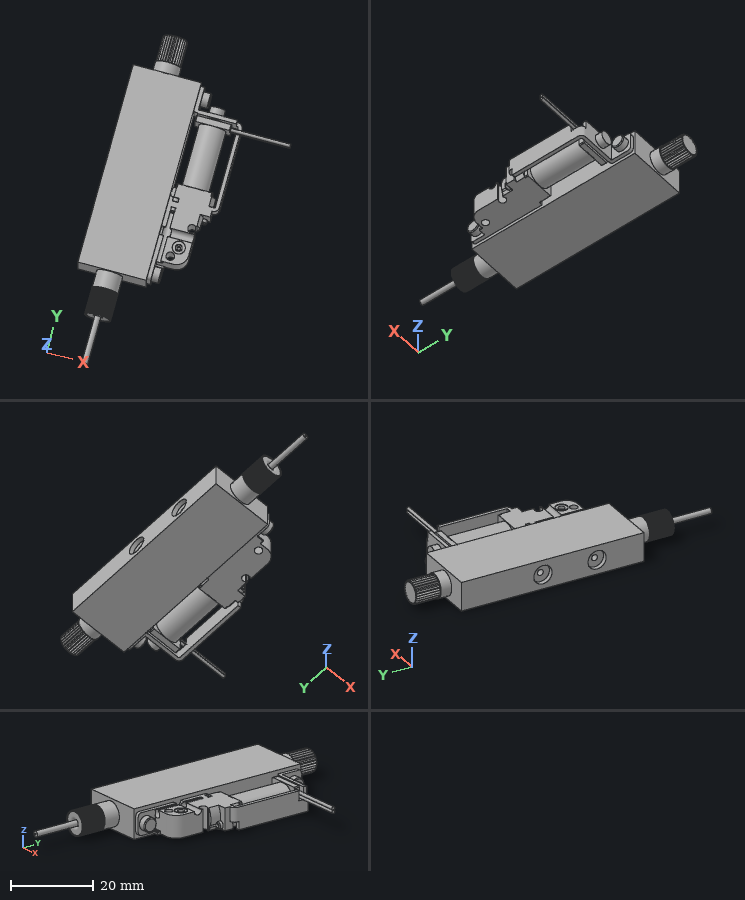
import cadquery as cq
import math

BLOCK_X = 17.2
BLOCK_Y = 50.9
BLOCK_Z = 8.0
MID_Z = BLOCK_Z / 2

PORT_Y = (13.1, 28.2)
PORT_RECESS_DIA = 5.0
PORT_RECESS_DEPTH = 1.25
PORT_DIA = 1.6
PORT_DEPTH = 3.35
DRILL_POINT_ANGLE = 118

FITTING_X = 8.05
NECK_DIA = 6.5

KNOB_NECK = 2.9
KNOB_FLUTED = 6.8
KNOB_GRIP_DIA = 6.2
KNOB_FLUTES = 26
KNOB_FLUTE_DEPTH = 0.4
KNOB_CHAMFER = 0.3

GLAND_NECK = 4.4
GLAND_KNURLED = 6.8
GLAND_TEETH = 66
GLAND_TOOTH_DEPTH = 0.25
GLAND_FLARE_DIA = 3.5
CABLE_DIA = 1.6
CABLE_LENGTH = 11.9
CORE_DIA = 0.32
CORE_LENGTH = 0.2

PILOT_HEIGHT = 5.95
PILOT_BOTTOM = MID_Z - PILOT_HEIGHT / 2
PILOT_TOP = MID_Z + PILOT_HEIGHT / 2
SHEET = 1.0

FLANGE_MARGIN = 0.5
FLANGE_CORNER = 1.0
UPPER_FLANGE_BOTTOM_Y = 43.6
SCREW_DIA = 3.8
SCREW_HEIGHT = 2.0
SCREW_CHAMFER = 0.25
LOWER_SCREW_Y = 2.8
UPPER_SCREW_Y = 47.8

BRACKET_RIGHT_X = 29.5
BRACKET_BOTTOM_Y = 20.95
BRACKET_TOP_Y = 44.4
BEND_RADIUS = 1.3
ARM_BEND_RADIUS = 0.5
INNER_BEND_RADIUS = BEND_RADIUS - SHEET
RELIEF_X = 28.0
UPPER_RELIEF_Y = 40.9
UPPER_RELIEF_Z = 4.4
LOWER_RELIEF_Y = 22.55
LOWER_RELIEF_Z = 3.2

COIL_X = 22.55
COIL_WIDTH = 6.8
COIL_HEIGHT = 5.7
BOBBIN_WIDTH = 9.0
BOBBIN_CORNER = 0.25
LOWER_CHEEK_Y = (24.5, 25.4)
UPPER_CHEEK_Y = (41.4, 42.9)
CORE_POST_DIA = 3.8
CORE_POST_TOP_Y = 46.4
WIRE_DIA = 0.9
WIRE_END_X = 42.0
WIRE_Y = 41.8
UPPER_WIRE_Z = 5.95
WIRE_OVERLAP = 0.03

BASE_RIGHT_X = 28.0
FLANK_BULGE = 1.0

BODY_SHOULDER_Y = 19.45
BODY_RIGHT_X = 25.5
BODY_BOTTOM_Y = 5.8
BODY_CORNER = 3.0
CHEEK_BOTTOM_Y = 16.5
CHEEK_BULGE = 0.75
MOUNT_HOLE_DIA = 2.0
MOUNT_HOLE_X = 21.2
MOUNT_HOLE_Y = 7.55
MOUNT_SLOT_X = 24.5
MOUNT_SLOT_Y = 15.5
MOUNT_SLOT_MOUTH = 1.6
PLUG_X = 22.6
PLUG_Y = 10.15
PLUG_DIA = 3.2
PLUG_RECESS = 0.2
PLUG_SOCKET_DIA = 1.7
PLUG_SOCKET_DEPTH = 1.0
PLUG_BORE_DIA = 0.9
PLUG_BORE_DEPTH = 2.1
CROSS_GROOVE_Y = 13.2
CROSS_GROOVE_DIA = 2.2

NIPPLE_OFFSET_X = 3.8
NIPPLE_OFFSET_Z = 1.85
NIPPLE_DIA = 2.0
NIPPLE_LENGTH = 1.1
NIPPLE_CHAMFER = 0.25
NIPPLE_BORE_DIA = 0.9
CHANNEL_DIA = 2.1
CHANNEL_SLOT = 1.0
BRACKET_PIN_DIA = 1.4

LEDGE_X = 20.2
LEDGE_STEP = 0.5
LEDGE_LOW = 0.5
LEDGE_HIGH = 0.75


def box(x_range, y_range, z_range):
    """Box from its limits along X, Y and Z."""
    (x0, x1), (y0, y1), (z0, z1) = x_range, y_range, z_range
    return cq.Workplane("XY").box(x1 - x0, y1 - y0, z1 - z0, centered=False).translate((x0, y0, z0))


def across_y(x, z, y):
    """Workplane facing +Y, with its origin at (x, y, z)."""
    return cq.Workplane("XZ", origin=(x, y, z)).transformed(rotate=(180, 0, 0))


def rod_y(dia, x, z, y0, y1):
    """Round rod along Y."""
    return across_y(x, z, y0).circle(dia / 2).extrude(y1 - y0)


def rod_x(dia, y, z, x0, x1):
    """Round rod along X."""
    return cq.Workplane("YZ", origin=(x0, y, z)).circle(dia / 2).extrude(x1 - x0)


def hole_z(dia, x, y, z0):
    """Round cutter along Z, from z0 up through the top of the pilot valve."""
    return cq.Workplane("XY", origin=(x, y, z0)).circle(dia / 2).extrude(PILOT_TOP - z0)


def toothed_rod(dia, teeth, depth, y0, y1):
    """Rod along the fitting axis with V-shaped teeth, one tip pointing to +Z."""
    points = []
    for i in range(2 * teeth):
        radius = dia / 2 - depth * (i % 2)
        angle = math.pi / 2 + i * math.pi / teeth
        points.append((radius * math.cos(angle), radius * math.sin(angle)))
    return across_y(FITTING_X, MID_Z, y0).polyline(points).close().extrude(y1 - y0)


def drill_point(y):
    """Conical end of the port at the given Y."""
    radius = PORT_DIA / 2
    height = radius / math.tan(math.radians(DRILL_POINT_ANGLE / 2))
    cone = cq.Solid.makeCone(radius, 0, height, cq.Vector(PORT_DEPTH, y, MID_Z), cq.Vector(1, 0, 0))
    return cq.Workplane(cone)


def make_block():
    block = box((0, BLOCK_X), (0, BLOCK_Y), (0, BLOCK_Z))
    for y in PORT_Y:
        block = block.cut(rod_x(PORT_RECESS_DIA, y, MID_Z, 0, PORT_RECESS_DEPTH))
        block = block.cut(rod_x(PORT_DIA, y, MID_Z, 0, PORT_DEPTH))
        block = block.cut(drill_point(y))
    return block


def make_knob():
    neck_end = BLOCK_Y + KNOB_NECK
    tip = neck_end + KNOB_FLUTED
    envelope = rod_y(KNOB_GRIP_DIA, FITTING_X, MID_Z, neck_end, tip).faces(">Y").chamfer(KNOB_CHAMFER)
    grip = toothed_rod(KNOB_GRIP_DIA, KNOB_FLUTES, KNOB_FLUTE_DEPTH, neck_end, tip).intersect(envelope)
    return rod_y(NECK_DIA, FITTING_X, MID_Z, BLOCK_Y, neck_end).union(grip)


def make_cable_fitting():
    knurl_start = -GLAND_NECK
    face_y = knurl_start - GLAND_KNURLED
    cable_end = face_y - CABLE_LENGTH
    flare = (GLAND_FLARE_DIA - CABLE_DIA) / 2

    fitting = rod_y(NECK_DIA, FITTING_X, MID_Z, knurl_start, 0)
    fitting = fitting.union(toothed_rod(NECK_DIA, GLAND_TEETH, GLAND_TOOTH_DEPTH, face_y, knurl_start))
    mouth = (
        cq.Workplane("XY")
        .moveTo(0, face_y)
        .lineTo(GLAND_FLARE_DIA / 2, face_y)
        .radiusArc((CABLE_DIA / 2, face_y + flare), flare)
        .lineTo(0, face_y + flare)
        .close()
        .revolve(360, (0, 0, 0), (0, 1, 0))
        .translate((FITTING_X, 0, MID_Z))
    )
    fitting = fitting.cut(mouth)
    fitting = fitting.union(rod_y(CABLE_DIA, FITTING_X, MID_Z, cable_end, knurl_start))
    return fitting.union(rod_y(CORE_DIA, FITTING_X, MID_Z, cable_end - CORE_LENGTH, cable_end))


PILOT_Z = (PILOT_BOTTOM, PILOT_TOP)
FLANGE_X = (BLOCK_X, BLOCK_X + SHEET)


def make_flange(y0, y1, rounded_end):
    """Mounting flange flat against the block, with rounded corners at one end."""
    flange = box(FLANGE_X, (y0, y1), PILOT_Z)
    return flange.faces(rounded_end).edges("|X").fillet(FLANGE_CORNER)


def make_screw_head(y):
    head = rod_x(SCREW_DIA, y, MID_Z, FLANGE_X[1], FLANGE_X[1] + SCREW_HEIGHT)
    return head.faces(">X").chamfer(SCREW_CHAMFER)


def make_bracket():
    """Sheet bent around the coil, with its bends cut back for the wires and at the lower corner."""
    outer = box((BLOCK_X, BRACKET_RIGHT_X), (BRACKET_BOTTOM_Y, BRACKET_TOP_Y), PILOT_Z)
    outer = outer.edges("|Z and >X").fillet(BEND_RADIUS)
    inner_y = (BRACKET_BOTTOM_Y + SHEET, BRACKET_TOP_Y - SHEET)
    inner = box((BLOCK_X, BRACKET_RIGHT_X - SHEET), inner_y, PILOT_Z)
    bracket = outer.cut(inner.edges("|Z and >X and >Y").fillet(INNER_BEND_RADIUS))
    relief_x = (RELIEF_X, BRACKET_RIGHT_X)
    bracket = bracket.cut(box(relief_x, (UPPER_RELIEF_Y, BRACKET_TOP_Y), (UPPER_RELIEF_Z, PILOT_TOP)))
    bracket = bracket.cut(box(relief_x, (BRACKET_BOTTOM_Y, LOWER_RELIEF_Y), (PILOT_BOTTOM, LOWER_RELIEF_Z)))
    bend_y = (UPPER_FLANGE_BOTTOM_Y, BRACKET_TOP_Y)
    bend = box(FLANGE_X, bend_y, PILOT_Z).edges("|Z and <X and <Y").fillet(ARM_BEND_RADIUS)
    square_end = box(FLANGE_X, (inner_y[1], BRACKET_TOP_Y), PILOT_Z)
    return bracket.cut(square_end).union(bend)


def make_coil():
    coil = across_y(COIL_X, MID_Z, LOWER_CHEEK_Y[0]).ellipse(COIL_WIDTH / 2, COIL_HEIGHT / 2)
    coil = coil.extrude(UPPER_CHEEK_Y[1] - LOWER_CHEEK_Y[0])
    cheek_x = (COIL_X - BOBBIN_WIDTH / 2, COIL_X + BOBBIN_WIDTH / 2)
    for cheek_y in (LOWER_CHEEK_Y, UPPER_CHEEK_Y):
        coil = coil.union(box(cheek_x, cheek_y, PILOT_Z).edges("|Y").chamfer(BOBBIN_CORNER))
    post = rod_y(CORE_POST_DIA, COIL_X, MID_Z, UPPER_CHEEK_Y[1], CORE_POST_TOP_Y)
    return coil.union(post)


def make_wires():
    """Two parallel wires, fused along the line where they meet."""
    start_x = COIL_X + BOBBIN_WIDTH / 2 - BOBBIN_CORNER
    upper = rod_x(WIRE_DIA, WIRE_Y, UPPER_WIRE_Z, start_x, WIRE_END_X)
    lower_z = UPPER_WIRE_Z - WIRE_DIA + WIRE_OVERLAP
    return upper.union(rod_x(WIRE_DIA, WIRE_Y, lower_z, start_x, WIRE_END_X))


def bulged_block(left_x, right_x, left_bulge, right_bulge, y0, y1):
    """Block along Y whose flanks bow outwards to the given X limits."""
    profile = cq.Workplane("XZ", origin=(0, y1, 0)).moveTo(left_x + left_bulge, PILOT_BOTTOM)
    profile = profile.lineTo(right_x - right_bulge, PILOT_BOTTOM)
    profile = profile.threePointArc((right_x, MID_Z), (right_x - right_bulge, PILOT_TOP))
    profile = profile.lineTo(left_x + left_bulge, PILOT_TOP)
    if left_bulge:
        profile = profile.threePointArc((left_x, MID_Z), (left_x + left_bulge, PILOT_BOTTOM))
    return profile.close().extrude(y1 - y0)


NIPPLE_UPPER = (COIL_X - NIPPLE_OFFSET_X, MID_Z + NIPPLE_OFFSET_Z)
NIPPLE_LOWER = (COIL_X + NIPPLE_OFFSET_X, MID_Z - NIPPLE_OFFSET_Z)


def make_nipple(x, z):
    tip_y = BODY_SHOULDER_Y - NIPPLE_LENGTH
    nipple = rod_y(NIPPLE_DIA, x, z, tip_y, BODY_SHOULDER_Y).faces("<Y").chamfer(NIPPLE_CHAMFER)
    return nipple.cut(rod_y(NIPPLE_BORE_DIA, x, z, tip_y, BODY_SHOULDER_Y))


def cut_mount_holes(body):
    body = body.cut(hole_z(MOUNT_HOLE_DIA, MOUNT_HOLE_X, MOUNT_HOLE_Y, PILOT_BOTTOM))
    body = body.cut(hole_z(MOUNT_HOLE_DIA, MOUNT_SLOT_X, MOUNT_SLOT_Y, PILOT_BOTTOM))
    mouth_y = (MOUNT_SLOT_Y - MOUNT_SLOT_MOUTH / 2, MOUNT_SLOT_Y + MOUNT_SLOT_MOUTH / 2)
    return body.cut(box((MOUNT_SLOT_X, BASE_RIGHT_X), mouth_y, PILOT_Z))


def cut_plug_recess(body):
    body = body.cut(hole_z(PLUG_DIA, PLUG_X, PLUG_Y, PILOT_TOP - PLUG_RECESS))
    body = body.cut(hole_z(PLUG_SOCKET_DIA, PLUG_X, PLUG_Y, PILOT_TOP - PLUG_SOCKET_DEPTH))
    return body.cut(hole_z(PLUG_BORE_DIA, PLUG_X, PLUG_Y, PILOT_TOP - PLUG_BORE_DEPTH))


def cut_channels(body):
    """Round channel along Y, opened upwards by a slot, and the half-round groove across it."""
    x, z = NIPPLE_UPPER
    body = body.cut(rod_y(CHANNEL_DIA, x, z, BODY_BOTTOM_Y, BODY_SHOULDER_Y))
    slot_x = (x - CHANNEL_SLOT / 2, x + CHANNEL_SLOT / 2)
    body = body.cut(box(slot_x, (BODY_BOTTOM_Y, BODY_SHOULDER_Y), (z, PILOT_TOP)))
    return body.cut(rod_x(CROSS_GROOVE_DIA, CROSS_GROOVE_Y, PILOT_TOP, BLOCK_X, BASE_RIGHT_X))


def make_ledge():
    low_z = (PILOT_BOTTOM, PILOT_BOTTOM + LEDGE_LOW)
    high_z = (PILOT_BOTTOM, PILOT_BOTTOM + LEDGE_HIGH)
    ledge = box((BLOCK_X, LEDGE_X), (BODY_BOTTOM_Y - 2 * LEDGE_STEP, BODY_BOTTOM_Y), low_z)
    return ledge.union(box((BLOCK_X, LEDGE_X), (BODY_BOTTOM_Y - LEDGE_STEP, BODY_BOTTOM_Y), high_z))


def make_pilot_body():
    body = box((BLOCK_X, BODY_RIGHT_X), (BODY_BOTTOM_Y, BODY_SHOULDER_Y), PILOT_Z)
    body = body.edges("|Z and >X and <Y").fillet(BODY_CORNER)
    cheek_right_x = BODY_RIGHT_X + CHEEK_BULGE
    body = body.union(
        bulged_block(COIL_X, cheek_right_x, 0, CHEEK_BULGE, CHEEK_BOTTOM_Y, BODY_SHOULDER_Y)
    )
    body = cut_mount_holes(body)
    body = cut_plug_recess(body)
    body = cut_channels(body)
    body = body.union(box((BLOCK_X, BASE_RIGHT_X), (BODY_SHOULDER_Y, BRACKET_BOTTOM_Y), PILOT_Z))
    x, z = NIPPLE_LOWER
    body = body.cut(rod_y(NIPPLE_BORE_DIA, x, z, CHEEK_BOTTOM_Y, BODY_SHOULDER_Y))
    for x, z in (NIPPLE_UPPER, NIPPLE_LOWER):
        body = body.union(make_nipple(x, z))
    return body.union(make_ledge())


def make_bracket_notch():
    """Slot cutter that bares the round pin lying in the lower arm of the bracket."""
    x, z = NIPPLE_UPPER
    notch_x = (x - BRACKET_PIN_DIA / 2, x + BRACKET_PIN_DIA / 2)
    arm_y = (BRACKET_BOTTOM_Y, BRACKET_BOTTOM_Y + SHEET)
    notch = box(notch_x, arm_y, (z, PILOT_TOP))
    return notch.cut(rod_y(BRACKET_PIN_DIA, x, z, *arm_y))


def make_pilot_valve():
    valve = make_pilot_body()
    base_y = (BRACKET_BOTTOM_Y + SHEET, LOWER_CHEEK_Y[0])
    parts = [
        make_flange(FLANGE_MARGIN, BODY_BOTTOM_Y, "<Y"),
        make_flange(BRACKET_TOP_Y, BLOCK_Y - FLANGE_MARGIN, ">Y"),
        make_screw_head(LOWER_SCREW_Y),
        make_screw_head(UPPER_SCREW_Y),
        make_bracket().cut(make_bracket_notch()),
        bulged_block(BLOCK_X, BASE_RIGHT_X, FLANK_BULGE, FLANK_BULGE, *base_y),
        make_coil(),
        make_wires(),
    ]
    for part in parts:
        valve = valve.union(part)
    return valve


block = make_block()
knob = make_knob()
cable_fitting = make_cable_fitting()
pilot_valve = make_pilot_valve()

result = cq.Compound.makeCompound(
    [body.solids().val() for body in (block, knob, cable_fitting, pilot_valve)]
)